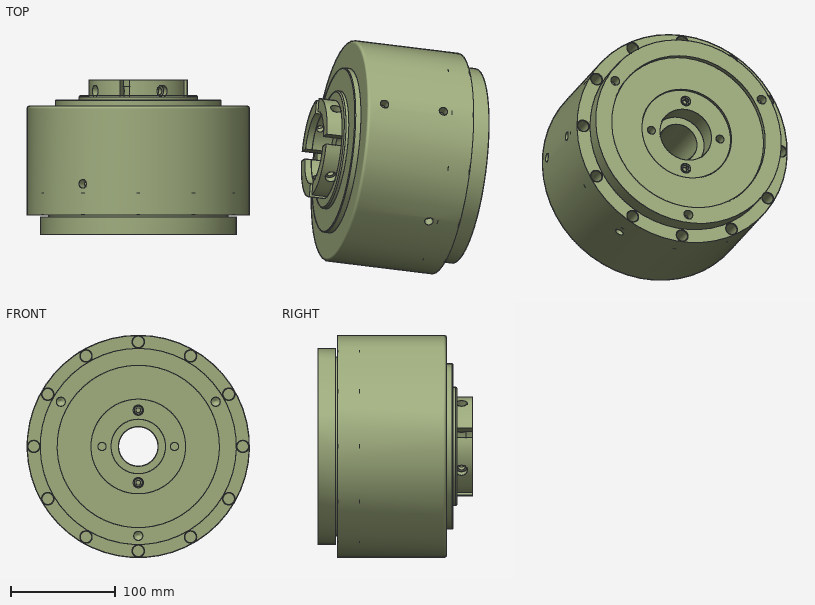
import cadquery as cq
import math

REARWARD = cq.Vector(0, 1, 0)

FLANGE_D = 187.0
FLANGE_REAR = 17.0
NECK_D = 170.9
HOUSING_D = 212.0
HOUSING_FRONT = 18.7
HOUSING_REAR = 122.7
HOUSING_FILLET = 2.8
COVER_D = 158.2
COVER_REAR = 128.7
COVER_CHAMFER = 0.8
COLLAR_D = 113.2
COLLAR_REAR = 132.7
COLLAR_CHAMFER = 1.3

OUTER_RECESS_D = 154.8
OUTER_RECESS_DEPTH = 5.0
INNER_RECESS_D = 90.3
INNER_RECESS_DEPTH = 3.0
INNER_FACE = OUTER_RECESS_DEPTH + INNER_RECESS_DEPTH
FRONT_BORE_D = 52.0

DRILL_POINT_ANGLE = 118.0
RIM_HOLES = 12
RIM_HOLE_D = 11.0
RIM_HOLE_MOUTH_D = 11.9
RIM_HOLE_CIRCLE_R = 99.6
RIM_HOLE_DEPTH = 21.2
FLANGE_HOLE_ANGLES = (30, 150, 270)
FLANGE_HOLE_D = 8.7
FLANGE_HOLE_CIRCLE_R = 85.2
FLANGE_HOLE_DEPTH = 12.7
INNER_HOLE_CIRCLE_R = 34.5
PIN_HOLE_ANGLES = (0, 180)
PIN_HOLE_D = 7.8
PIN_HOLE_DEPTH = 12.7
SCREW_HOLE_ANGLES = (90, 270)
SCREW_HOLE_D = 7.6
SCREW_HOLE_MOUTH_D = 9.8
SCREW_HOLE_DEPTH = 2.1
SCREW_SOCKET_D = 4.7
SCREW_SOCKET_DEPTH = 2.1
PORT_D = 8.0
PORT_DEPTH = 10.5
FRONT_PORT_Y = 48.5
FRONT_PORT_ANGLES = (120, 180, 240)
REAR_PORT_Y = 106.6
REAR_PORT_ANGLE = 180

HUB_D = 94.3
HUB_FRONT = 29.7
HUB_REAR = 147.5
HUB_BORE_D = 37.5
CLAMP_BORE_D = 67.8
CLAMP_BORE_FRONT = HOUSING_REAR
CLAMP_MOUTH_D = 69.1
CLAMP_MOUTH_DEPTH = 6.4
SLITS = 4
SLIT_WIDTH = 9.5
FIRST_SLIT_ANGLE = 106.0
CLAMP_HOLE_Y = 137.0
CLAMP_HOLE_D = 7.2
CLAMP_HEAD_D = 11.0
CLAMP_HEAD_FLOOR_R = 39.9


def cylinder(diameter, front, rear):
    """Cylinder on the Y axis between two stations."""
    return cq.Workplane(cq.Solid.makeCylinder(diameter / 2, rear - front, cq.Vector(0, front, 0), REARWARD))


def around_y(radius, angle, y):
    """Point at a radius from the Y axis, its angle measured from +X toward +Z."""
    turn = math.radians(angle)
    return cq.Vector(radius * math.cos(turn), y, radius * math.sin(turn))


def drilled_hole(diameter, depth, start, direction):
    """Blind hole cutter with a conical drill point."""
    radius = diameter / 2
    point = radius / math.tan(math.radians(DRILL_POINT_ANGLE / 2))
    shaft = cq.Solid.makeCylinder(radius, depth, start, direction)
    tip = cq.Solid.makeCone(radius, 0, point, start + direction * depth, direction)
    return cq.Workplane(shaft.fuse(tip))


def gearbox_body():
    housing = cylinder(HOUSING_D, HOUSING_FRONT, HOUSING_REAR).faces(">Y").edges().fillet(HOUSING_FILLET)
    cover = cylinder(COVER_D, HOUSING_REAR, COVER_REAR).faces(">Y").edges().chamfer(COVER_CHAMFER)
    collar = cylinder(COLLAR_D, COVER_REAR, COLLAR_REAR).faces(">Y").edges().chamfer(COLLAR_CHAMFER)
    body = cylinder(FLANGE_D, 0, FLANGE_REAR)
    body = body.union(cylinder(NECK_D, FLANGE_REAR, HOUSING_FRONT))
    body = body.union(housing).union(cover).union(collar)
    body = body.cut(cylinder(OUTER_RECESS_D, 0, OUTER_RECESS_DEPTH))
    body = body.cut(cylinder(INNER_RECESS_D, OUTER_RECESS_DEPTH, INNER_FACE))
    body = body.cut(cylinder(FRONT_BORE_D, INNER_FACE, HUB_FRONT))
    return body.cut(cylinder(HUB_D, HUB_FRONT, COLLAR_REAR))


def chamfered_hole(diameter, mouth_diameter, depth, start, direction):
    """Flat-bottomed hole cutter with a 45 degree chamfered mouth."""
    radius = diameter / 2
    mouth_radius = mouth_diameter / 2
    shaft = cq.Solid.makeCylinder(radius, depth, start, direction)
    mouth = cq.Solid.makeCone(mouth_radius, radius, mouth_radius - radius, start, direction)
    return cq.Workplane(shaft.fuse(mouth))


def cut_front_holes(body):
    for index in range(RIM_HOLES):
        center = around_y(RIM_HOLE_CIRCLE_R, index * 360 / RIM_HOLES, HOUSING_FRONT)
        body = body.cut(chamfered_hole(RIM_HOLE_D, RIM_HOLE_MOUTH_D, RIM_HOLE_DEPTH, center, REARWARD))
    for angle in FLANGE_HOLE_ANGLES:
        center = around_y(FLANGE_HOLE_CIRCLE_R, angle, 0)
        body = body.cut(drilled_hole(FLANGE_HOLE_D, FLANGE_HOLE_DEPTH, center, REARWARD))
    for angle in PIN_HOLE_ANGLES:
        center = around_y(INNER_HOLE_CIRCLE_R, angle, INNER_FACE)
        pin_hole = cq.Solid.makeCylinder(PIN_HOLE_D / 2, PIN_HOLE_DEPTH, center, REARWARD)
        body = body.cut(cq.Workplane(pin_hole))
    for angle in SCREW_HOLE_ANGLES:
        center = around_y(INNER_HOLE_CIRCLE_R, angle, INNER_FACE)
        body = body.cut(chamfered_hole(SCREW_HOLE_D, SCREW_HOLE_MOUTH_D, SCREW_HOLE_DEPTH, center, REARWARD))
        floor = center + REARWARD * SCREW_HOLE_DEPTH
        socket = cq.Solid.makeCylinder(SCREW_SOCKET_D / 2, SCREW_SOCKET_DEPTH, floor, REARWARD)
        body = body.cut(cq.Workplane(socket))
    return body


def cut_ports(body):
    ports = [(angle, FRONT_PORT_Y) for angle in FRONT_PORT_ANGLES]
    ports.append((REAR_PORT_ANGLE, REAR_PORT_Y))
    for angle, y in ports:
        inward = around_y(-1, angle, 0)
        start = around_y(HOUSING_D / 2, angle, y)
        body = body.cut(drilled_hole(PORT_D, PORT_DEPTH, start, inward))
    return body


def hub_body():
    body = cylinder(HUB_D, HUB_FRONT, HUB_REAR)
    body = body.cut(cylinder(HUB_BORE_D, HUB_FRONT, HUB_REAR))
    body = body.cut(cylinder(CLAMP_BORE_D, CLAMP_BORE_FRONT, HUB_REAR))
    return body.cut(cylinder(CLAMP_MOUTH_D, HUB_REAR - CLAMP_MOUTH_DEPTH, HUB_REAR))


def cut_slits(body):
    length = HUB_REAR - CLAMP_BORE_FRONT
    slit = cq.Workplane().box(HUB_D, length, SLIT_WIDTH, centered=(False, False, True))
    slit = slit.translate((0, CLAMP_BORE_FRONT, 0))
    for index in range(SLITS):
        angle = FIRST_SLIT_ANGLE + index * 360 / SLITS
        body = body.cut(slit.rotate((0, 0, 0), (0, 1, 0), -angle))
    return body


def cut_clamp_holes(body):
    """Counterbored radial holes midway between the slits."""
    for index in range(SLITS):
        angle = FIRST_SLIT_ANGLE + (index + 0.5) * 360 / SLITS
        outward = around_y(1, angle, 0)
        hole = cq.Solid.makeCylinder(CLAMP_HOLE_D / 2, HUB_D / 2, cq.Vector(0, CLAMP_HOLE_Y, 0), outward)
        floor = around_y(CLAMP_HEAD_FLOOR_R, angle, CLAMP_HOLE_Y)
        head = cq.Solid.makeCylinder(CLAMP_HEAD_D / 2, HUB_D / 2, floor, outward)
        body = body.cut(cq.Workplane(hole)).cut(cq.Workplane(head))
    return body


gearbox = cut_ports(cut_front_holes(gearbox_body()))
hub = cut_clamp_holes(cut_slits(hub_body()))

result = cq.Compound.makeCompound([gearbox.val(), hub.val()])